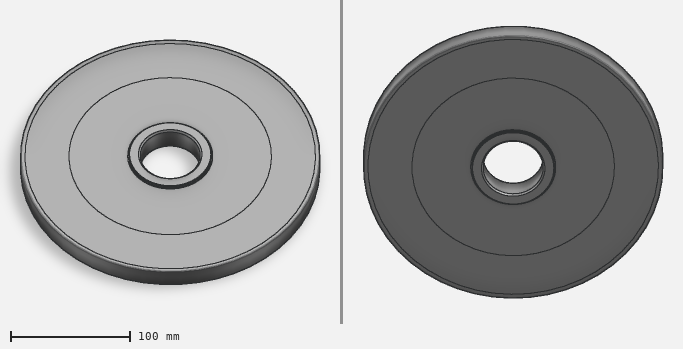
import cadquery as cq

wheel_diameter = 250.0
wheel_width = 17.5
rim_fillet = 0.8

hub_diameter = 69.0
hub_width = 21.5
hub_chamfer = 0.6
bore_diameter = 50.0
bore_chamfer = 1.5

groove_diameter = 71.0
groove_depth = 0.4

insert_outer_diameter = 244.5
insert_inner_diameter = 169.0
insert_chamfer = 1.0
insert_cover = 0.6
insert_width = wheel_width - 2 * insert_cover


def disc(diameter, width):
    """Disc about Z, centred on the mid plane."""
    return cq.Workplane("XY").workplane(offset=-width / 2).circle(diameter / 2).extrude(width)


def ring(outer_diameter, inner_diameter, width):
    """Flat ring about Z, centred on the mid plane."""
    return disc(outer_diameter, width).cut(disc(inner_diameter, width))


def make_insert():
    """Ring with chamfered outer edges that fills the cavity inside the wheel."""
    chamfered_disc = disc(insert_outer_diameter, insert_width).faces("|Z").edges().chamfer(insert_chamfer)
    return chamfered_disc.cut(disc(insert_inner_diameter, insert_width))


def make_hub_form():
    """Hub sleeve with chamfered rims and bore mouths."""
    hub = disc(hub_diameter, hub_width).faces("|Z").edges().chamfer(hub_chamfer)
    hub = hub.cut(disc(bore_diameter, hub_width))
    bore_mouths = cq.selectors.RadiusNthSelector(0)
    return hub.faces("<Z or >Z").edges(bore_mouths).chamfer(bore_chamfer)


def cut_hub_grooves(wheel):
    """Cut the groove around the hub into the top and bottom faces."""
    groove = ring(groove_diameter, hub_diameter, groove_depth)
    groove_height = (wheel_width - groove_depth) / 2
    for side in (1, -1):
        wheel = wheel.cut(groove.translate((0, 0, side * groove_height)))
    return wheel


def make_wheel():
    """Rounded disc and hub in one piece, with a closed cavity for the insert."""
    wheel = disc(wheel_diameter, wheel_width).faces("|Z").edges().fillet(rim_fillet)
    wheel = wheel.cut(disc(hub_diameter, wheel_width))
    wheel = wheel.union(make_hub_form())
    wheel = cut_hub_grooves(wheel)
    return wheel.cut(make_insert())


wheel = make_wheel()
insert = make_insert()
result = cq.Compound.makeCompound([wheel.solids().val(), insert.solids().val()])